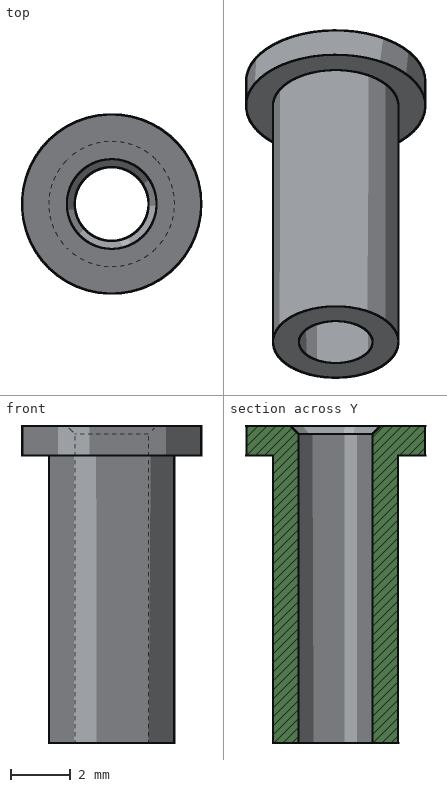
import cadquery as cq

total_height = 10.6
flange_diameter = 6.0
flange_height = 1.0
sleeve_diameter = 4.2
bore_diameter = 2.46
bore_mouth_diameter = 3.0

sleeve_height = total_height - flange_height
lead_in = (bore_mouth_diameter - bore_diameter) / 2

sleeve = cq.Workplane("XY").circle(sleeve_diameter / 2).extrude(sleeve_height)
flange = (
    cq.Workplane("XY")
    .workplane(offset=sleeve_height)
    .circle(flange_diameter / 2)
    .extrude(flange_height)
)

bored = sleeve.union(flange).faces(">Z").workplane().hole(bore_diameter)
result = bored.faces(">Z").edges("%CIRCLE").edges(cq.selectors.RadiusNthSelector(0)).chamfer(lead_in)